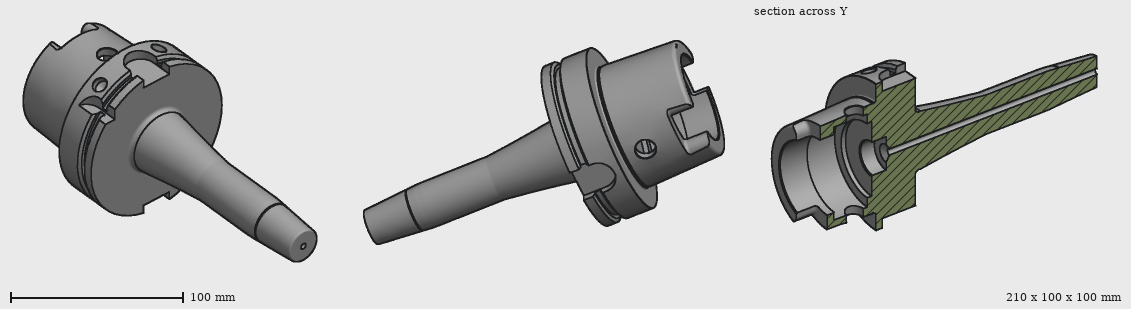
import cadquery as cq
import math


length = 210.0
taper_length = 50.0
flange_width = 28.8
mouth_x = -taper_length
tip_x = length - taper_length

clearance = 2.0

mouth_radius = 35.7
taper_end_radius = 75.4 / 2
mouth_rounding = 2.3
relief_left = 2.7
relief_wall_run = 0.5
relief_radius = 37.4
face_fillet = 1.3

flange_radius = 50.0
flange_chamfer = 0.2
gripper_radius = 45.8
gripper_left = 16.5
gripper_right = 22.9
gripper_bevel_run = 1.3
gripper_bevel_angle = 30.0

nose_root_radius = 22.3
root_blend_length = 3.4
root_blend_end_radius = 20.0
neck_start_x = 80.2
neck_radius = 27.0 / 2
flare_mid_radius = 16.4
neck_end_x = 124.3
neck_blend_length = 2.3
tip_taper_angle = 4.5
ring_groove_x = 131.9
ring_groove_width = 0.6
ring_groove_depth = 0.2
tip_rounding = 1.0

mouth_bore_radius = 53.0 / 2
mouth_bore_chamfer = 0.6
clamp_shoulder_depth = 20.0
clamp_bore_radius = 63.0 / 2
clamp_bore_end_x = -6.3
pilot_bore_radius = 25.2
bore_floor_x = -3.2
socket_radius = 22.5 / 2
socket_chamfer = 0.6
socket_depth = 10.5
funnel_radius = 12.0 / 2
coolant_radius = 3.8 / 2
drill_point_angle = 118.0
drill_point_slope = 1 / math.tan(math.radians(drill_point_angle / 2))
funnel_depth = (funnel_radius - coolant_radius) * drill_point_slope

drive_slot_width = 20.0
drive_slot_inner = 16.8
drive_slot_outer = 42.0
drive_slot_flare = 5.2
drive_slot_ledge = 32.3
drive_slot_floor_rounding = 1.9
upper_drive_slot_depth = 9.7
lower_drive_slot_depth = 14.7

clamp_hole_radius = 12.0 / 2
clamp_hole_x = -15.1
clamp_hole_chamfer = 0.32
flange_hole_radius = 9.0 / 2
flange_hole_mouth_radius = 9.5 / 2
flange_hole_depth = 4.2
flange_hole_x = 9.0
flange_hole_angles = (-22.0, 32.0)

slot_end_radius = 9.9
slot_end_x = 14.7
key_slot_floor = 43.5
corner_notch_floor = 31.3
corner_notch_wall = 31.7


def revolve_about_x(outline):
    return outline.close().revolve(360, (0, 0, 0), (1, 0, 0))


def turned_body():
    slope = math.tan(math.radians(tip_taper_angle))
    cone_start = neck_end_x + neck_blend_length
    tip_edge_x = tip_x - tip_rounding

    def cone_radius(x):
        return neck_radius - (x - neck_end_x) * slope

    ring_left = ring_groove_x - ring_groove_width / 2
    ring_right = ring_groove_x + ring_groove_width / 2
    flare_start_x = flange_width + root_blend_length
    taper_slope = (taper_end_radius - mouth_radius) / (taper_length - relief_left)
    bevel_end_radius = flange_radius - gripper_bevel_run / math.tan(math.radians(gripper_bevel_angle))
    arc_inset = face_fillet * (1 - math.sqrt(0.5))
    face_fillet_mid = (-arc_inset, taper_end_radius + arc_inset)
    outline = (
        cq.Workplane("XY")
        .moveTo(mouth_x, 0)
        .lineTo(mouth_x, mouth_radius - mouth_rounding)
        .tangentArcPoint(
            (mouth_x + mouth_rounding, mouth_radius + taper_slope * mouth_rounding), relative=False
        )
        .lineTo(-relief_left, taper_end_radius)
        .lineTo(-relief_left + relief_wall_run, relief_radius)
        .lineTo(-face_fillet - relief_wall_run, relief_radius)
        .lineTo(-face_fillet, taper_end_radius)
        .threePointArc(face_fillet_mid, (0, taper_end_radius + face_fillet))
        .lineTo(0, flange_radius - flange_chamfer)
        .lineTo(flange_chamfer, flange_radius)
        .lineTo(gripper_left, flange_radius)
        .lineTo(gripper_left + gripper_bevel_run, bevel_end_radius)
        .lineTo(gripper_left + gripper_bevel_run, gripper_radius)
        .lineTo(gripper_right - gripper_bevel_run, gripper_radius)
        .lineTo(gripper_right - gripper_bevel_run, bevel_end_radius)
        .lineTo(gripper_right, flange_radius)
        .lineTo(flange_width, flange_radius)
        .lineTo(flange_width, nose_root_radius)
        .tangentArcPoint((flare_start_x, root_blend_end_radius), relative=False)
        .threePointArc(((flare_start_x + neck_start_x) / 2, flare_mid_radius), (neck_start_x, neck_radius))
        .lineTo(neck_end_x - neck_blend_length, neck_radius)
        .tangentArcPoint((cone_start, cone_radius(cone_start)), relative=False)
        .lineTo(ring_left, cone_radius(ring_left))
        .lineTo(ring_left, cone_radius(ring_left) - ring_groove_depth)
        .lineTo(ring_right, cone_radius(ring_right) - ring_groove_depth)
        .lineTo(ring_right, cone_radius(ring_right))
        .lineTo(tip_edge_x, cone_radius(tip_edge_x))
        .tangentArcPoint((tip_x, cone_radius(tip_x) - tip_rounding), relative=False)
        .lineTo(tip_x, 0)
    )
    return revolve_about_x(outline)


def internal_bores():
    shoulder_x = mouth_x + clamp_shoulder_depth
    socket_floor_x = bore_floor_x + socket_depth
    outline = (
        cq.Workplane("XY")
        .moveTo(mouth_x, 0)
        .lineTo(mouth_x, mouth_bore_radius + mouth_bore_chamfer)
        .lineTo(mouth_x + mouth_bore_chamfer, mouth_bore_radius)
        .lineTo(shoulder_x, mouth_bore_radius)
        .lineTo(shoulder_x, clamp_bore_radius)
        .lineTo(clamp_bore_end_x, clamp_bore_radius)
        .lineTo(clamp_bore_end_x, pilot_bore_radius)
        .lineTo(bore_floor_x, pilot_bore_radius)
        .lineTo(bore_floor_x, socket_radius + socket_chamfer)
        .lineTo(bore_floor_x + socket_chamfer, socket_radius)
        .lineTo(socket_floor_x, socket_radius)
        .lineTo(socket_floor_x, funnel_radius)
        .lineTo(socket_floor_x + funnel_depth, coolant_radius)
        .lineTo(tip_x, coolant_radius)
        .lineTo(tip_x, 0)
    )
    return revolve_about_x(outline)


def drive_slot(depth):
    """Slot across the upper mouth wall; its side walls flare onto flat ledges."""
    half_width = drive_slot_width / 2
    flare_end = half_width + drive_slot_flare
    flare_start_z = drive_slot_ledge - drive_slot_flare
    arc_inset = drive_slot_flare * (1 - math.sqrt(0.5))
    arc_mid = (half_width + arc_inset, drive_slot_ledge - arc_inset)
    slot = (
        cq.Workplane("YZ", origin=(mouth_x, 0, 0))
        .moveTo(half_width, drive_slot_inner)
        .lineTo(half_width, flare_start_z)
        .threePointArc(arc_mid, (flare_end, drive_slot_ledge))
        .lineTo(drive_slot_outer, drive_slot_ledge)
        .lineTo(drive_slot_outer, drive_slot_outer)
        .lineTo(-drive_slot_outer, drive_slot_outer)
        .lineTo(-drive_slot_outer, drive_slot_ledge)
        .lineTo(-flare_end, drive_slot_ledge)
        .threePointArc((-arc_mid[0], arc_mid[1]), (-half_width, flare_start_z))
        .lineTo(-half_width, drive_slot_inner)
        .close()
        .extrude(depth)
    )
    wall_edges = cq.selectors.BoxSelector(
        (mouth_x, -flare_end - clearance, drive_slot_inner + clearance),
        (mouth_x + depth + clearance, flare_end + clearance, drive_slot_ledge - clearance),
    )
    return slot.faces(">X").edges(wall_edges).fillet(drive_slot_floor_rounding)


def flange_slot(center_y, floor_z):
    """Round-ended slot, open at the nose side of the flange and upward."""
    run = flange_width - slot_end_x + clearance
    height = flange_radius - floor_z + clearance
    floor = cq.Workplane("XY", origin=(slot_end_x, center_y, floor_z))
    round_end = floor.circle(slot_end_radius).extrude(height)
    straight = floor.center(run / 2, 0).rect(run, slot_end_radius * 2).extrude(height)
    return round_end.union(straight)


def flange_hole(angle):
    """Blind drilled hole with a bevelled mouth; the angle turns about X from +Z toward -Y."""
    bevel = flange_hole_mouth_radius - flange_hole_radius
    wall_end = flange_radius - flange_hole_depth
    hole = (
        cq.Workplane("XZ")
        .moveTo(0, wall_end - flange_hole_radius * drill_point_slope)
        .lineTo(flange_hole_radius, wall_end)
        .lineTo(flange_hole_radius, flange_radius - bevel)
        .lineTo(flange_hole_mouth_radius, flange_radius)
        .lineTo(flange_hole_mouth_radius, flange_radius + clearance)
        .lineTo(0, flange_radius + clearance)
        .close()
        .revolve(360, (0, 0, 0), (0, 1, 0))
    )
    return hole.translate((flange_hole_x, 0, 0)).rotate((0, 0, 0), (1, 0, 0), angle)


def half_turn(shape):
    return shape.rotate((0, 0, 0), (1, 0, 0), 180)


def clamp_hole_mouth(side):
    """Selects the outer rim of the clamp hole above (side = 1) or below (side = -1) the axis."""
    reach = clamp_hole_radius + clearance
    return cq.selectors.BoxSelector(
        (clamp_hole_x - reach, -reach, side * (clamp_bore_radius + clearance)),
        (clamp_hole_x + reach, reach, side * flange_radius),
        boundingbox=True,
    )


clamp_hole = cq.Workplane("XY", origin=(clamp_hole_x, 0, 0)).circle(clamp_hole_radius)
clamp_hole = clamp_hole.extrude(flange_radius, both=True)
key_slot = flange_slot(0, key_slot_floor)
corner_notch = flange_slot(-corner_notch_wall - slot_end_radius, corner_notch_floor)

result = turned_body().cut(internal_bores())
result = result.cut(drive_slot(upper_drive_slot_depth))
result = result.cut(half_turn(drive_slot(lower_drive_slot_depth)))
result = result.cut(clamp_hole)
for rim_side in (1, -1):
    result = result.edges(clamp_hole_mouth(rim_side)).chamfer(clamp_hole_chamfer)
result = result.cut(key_slot).cut(half_turn(key_slot)).cut(corner_notch)
for hole_angle in flange_hole_angles:
    result = result.cut(flange_hole(hole_angle))